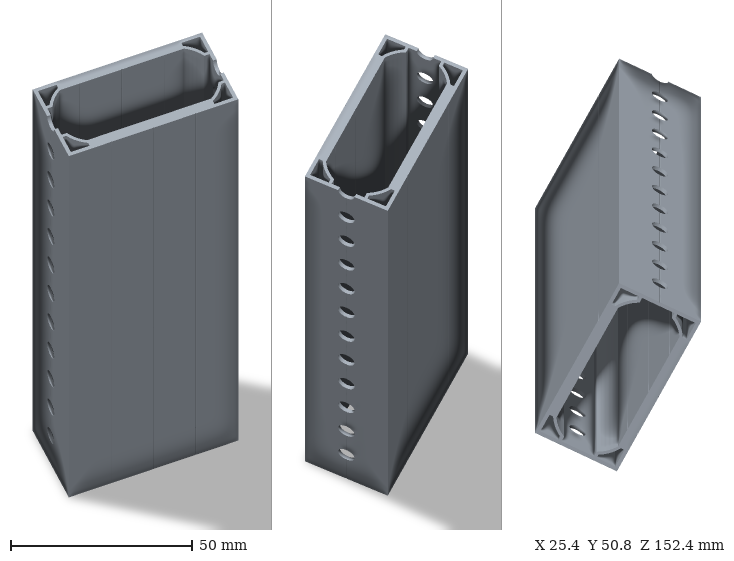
import cadquery as cq
import math

WIDTH = 25.4
DEPTH = 50.8
LENGTH = 152.4

SIDE_WALL = 3.175
THIN_WALL = 1.1

MODULE = 12.7

WEB_INNER_RADIUS = 11.2
WEB_OUTER_RADIUS = 12.1
WEB_END_THICKNESS = 0.9
BORE_END_HALF_WIDTH = 5.0
POCKET_START_Y = 18.7

HOLE_DIAMETER = 5.0
HOLE_COUNT = 12

SCRIBE_WIDTH = 0.254
SCRIBE_DEPTH = 0.127

HALF_WIDTH = WIDTH / 2
HALF_DEPTH = DEPTH / 2
BORE_HALF_WIDTH = HALF_WIDTH - SIDE_WALL
END_WALL_INNER_Y = HALF_DEPTH - THIN_WALL
WEB_CENTER_Y = HALF_DEPTH - MODULE
SCRIBE_OFFSETS = (-MODULE, 0, MODULE)


def arc_y(x, radius):
    """Y of a web arc at distance x from the tube's middle plane."""
    return WEB_CENTER_Y + math.sqrt(radius**2 - x**2)


def arc_x(y, radius):
    """X of a web arc at distance y from the tube's middle plane."""
    return math.sqrt(radius**2 - (y - WEB_CENTER_Y) ** 2)


def arc_middle(start, end, radius):
    """Point halfway along a web arc between two of its points."""
    start_angle = math.atan2(start[1] - WEB_CENTER_Y, start[0])
    end_angle = math.atan2(end[1] - WEB_CENTER_Y, end[0])
    angle = (start_angle + end_angle) / 2
    return (radius * math.cos(angle), WEB_CENTER_Y + radius * math.sin(angle))


def mirrored_extrusion(quarter):
    """Extrude a +X +Y profile along the tube and mirror it into all four quadrants."""
    body = quarter.close().extrude(LENGTH)
    body = body.union(body.mirror("YZ"))
    return body.union(body.mirror("XZ"))


def main_bore():
    side_end = (BORE_HALF_WIDTH, arc_y(BORE_HALF_WIDTH, WEB_INNER_RADIUS))
    neck = (BORE_END_HALF_WIDTH, arc_y(BORE_END_HALF_WIDTH, WEB_INNER_RADIUS))
    quarter = (
        cq.Workplane("XY")
        .lineTo(BORE_HALF_WIDTH, 0)
        .lineTo(*side_end)
        .threePointArc(arc_middle(side_end, neck, WEB_INNER_RADIUS), neck)
        .lineTo(BORE_END_HALF_WIDTH, END_WALL_INNER_Y)
        .lineTo(0, END_WALL_INNER_Y)
    )
    return mirrored_extrusion(quarter)


def corner_pockets():
    outer_x = HALF_WIDTH - THIN_WALL
    inner_x = BORE_END_HALF_WIDTH + WEB_END_THICKNESS
    arc_start = (arc_x(POCKET_START_Y, WEB_OUTER_RADIUS), POCKET_START_Y)
    arc_end = (inner_x, arc_y(inner_x, WEB_OUTER_RADIUS))
    quarter = (
        cq.Workplane("XY")
        .moveTo(outer_x, POCKET_START_Y)
        .lineTo(*arc_start)
        .threePointArc(arc_middle(arc_start, arc_end, WEB_OUTER_RADIUS), arc_end)
        .lineTo(inner_x, END_WALL_INNER_Y)
        .lineTo(outer_x, END_WALL_INNER_Y)
    )
    return mirrored_extrusion(quarter)


def wall_holes():
    """Row of holes through both narrow walls; the last one is halved by the top end."""
    centers = [(0, MODULE * (i + 1)) for i in range(HOLE_COUNT)]
    return (
        cq.Workplane("XZ")
        .pushPoints(centers)
        .circle(HOLE_DIAMETER / 2)
        .extrude(HALF_DEPTH, both=True)
    )


def side_scribe(face_x, y, depth):
    """V-groove on a face normal to X, with its tip at face_x + depth."""
    return (
        cq.Workplane("XY")
        .moveTo(face_x, y - SCRIBE_WIDTH / 2)
        .lineTo(face_x + depth, y)
        .lineTo(face_x, y + SCRIBE_WIDTH / 2)
        .close()
        .extrude(LENGTH)
    )


def end_scribe(face_y, depth):
    """V-groove on the middle of a narrow wall, with its tip at face_y + depth."""
    return (
        cq.Workplane("XY")
        .moveTo(-SCRIBE_WIDTH / 2, face_y)
        .lineTo(0, face_y + depth)
        .lineTo(SCRIBE_WIDTH / 2, face_y)
        .close()
        .extrude(LENGTH)
    )


tube = cq.Workplane("XY").rect(WIDTH, DEPTH).extrude(LENGTH)
tube = tube.cut(main_bore()).cut(corner_pockets()).cut(wall_holes())

for side in (-1, 1):
    tube = tube.cut(end_scribe(side * HALF_DEPTH, -side * SCRIBE_DEPTH))
    for offset in SCRIBE_OFFSETS:
        tube = tube.cut(side_scribe(side * HALF_WIDTH, offset, -side * SCRIBE_DEPTH))
        tube = tube.cut(side_scribe(side * BORE_HALF_WIDTH, offset, side * SCRIBE_DEPTH))

result = tube